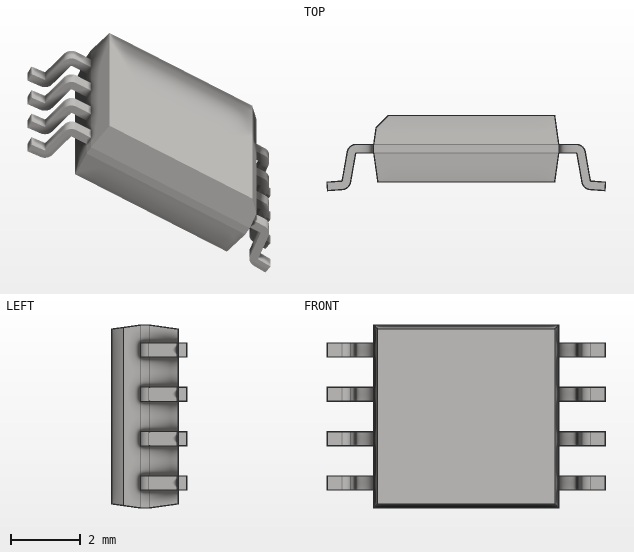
import cadquery as cq
import math


BODY_LENGTH_X = 5.3
BODY_LENGTH_Z = 5.24
BODY_HEIGHT = 1.91
BODY_TOP_Y = 2.16
DRAFT_ANGLE = 8.0
CHAMFER_DEPTH = 0.35

LEAD_COUNT_PER_SIDE = 4
LEAD_PITCH = 1.27
LEAD_WIDTH = 0.41
LEAD_THICKNESS = 0.25
LEAD_SPAN = 7.98
BEND_INNER_RADIUS = 0.02
FOOT_LENGTH = 0.42
LEG_TILT = math.radians(10)
FOOT_TILT = math.radians(4)

BODY_MID_Y = BODY_TOP_Y - BODY_HEIGHT / 2
BAND_BOTTOM_Y = BODY_MID_Y - LEAD_THICKNESS / 2
BAND_TOP_Y = BODY_MID_Y + LEAD_THICKNESS / 2
DRAFTED_HEIGHT = (BODY_HEIGHT - LEAD_THICKNESS) / 2


def outline_at(y):
    """Rectangle of the band, on a plane facing +Y at height y."""
    plane = cq.Plane(origin=(0, y, 0), xDir=(1, 0, 0), normal=(0, 1, 0))
    return cq.Workplane(plane).rect(BODY_LENGTH_X, BODY_LENGTH_Z)


def make_body():
    """Moulded body: a straight band with a drafted half above and below."""
    band = outline_at(BAND_BOTTOM_Y).extrude(LEAD_THICKNESS)
    upper = outline_at(BAND_TOP_Y).extrude(DRAFTED_HEIGHT, taper=DRAFT_ANGLE)
    lower = outline_at(BAND_BOTTOM_Y).extrude(-DRAFTED_HEIGHT, taper=DRAFT_ANGLE)
    return band.union(upper).union(lower).cut(make_bevel_cutter())


def make_bevel_cutter():
    """Triangular bar that bevels the top edge marking the pin 1 side."""
    bevel_bottom_y = BODY_TOP_Y - CHAMFER_DEPTH
    draft_inset = (bevel_bottom_y - BAND_TOP_Y) * math.tan(math.radians(DRAFT_ANGLE))
    bevel_start_x = -BODY_LENGTH_X / 2 + draft_inset
    reach = 2 * CHAMFER_DEPTH
    return (
        cq.Workplane("XY")
        .moveTo(bevel_start_x + reach, bevel_bottom_y + reach)
        .lineTo(bevel_start_x - reach, bevel_bottom_y + reach)
        .lineTo(bevel_start_x - reach, bevel_bottom_y - reach)
        .close()
        .extrude(BODY_LENGTH_Z / 2, both=True)
    )


def offset(point, distance, angle):
    """Point at a distance from another, the angle measured from +X towards +Y."""
    return (
        point[0] + distance * math.cos(angle),
        point[1] + distance * math.sin(angle),
    )


def make_lead(z):
    """Lead on the +X side, centred at z, butting against the band of the body.

    The inside and outside arcs of each bend share one centre, so the lead keeps
    its thickness all along.
    """
    right_angle = math.pi / 2
    leg_down = LEG_TILT - right_angle
    across_leg = LEG_TILT
    across_foot = -FOOT_TILT - right_angle
    outer_radius = BEND_INNER_RADIUS + LEAD_THICKNESS

    toe_top = (LEAD_SPAN / 2, LEAD_THICKNESS * math.cos(FOOT_TILT))
    toe_bottom = offset(toe_top, LEAD_THICKNESS, across_foot)
    foot_start = offset(toe_top, FOOT_LENGTH, math.pi - FOOT_TILT)
    heel_centre = offset(foot_start, -BEND_INNER_RADIUS, across_foot)

    knee_centre_y = BAND_BOTTOM_Y - BEND_INNER_RADIUS
    centre_gap = outer_radius + BEND_INNER_RADIUS
    leg_drop = knee_centre_y + centre_gap * math.sin(across_leg) - heel_centre[1]
    leg_length = leg_drop / math.cos(LEG_TILT)
    knee_centre = offset(offset(heel_centre, -leg_length, leg_down), -centre_gap, across_leg)

    knee_middle = (right_angle + across_leg) / 2
    heel_middle = (across_foot + across_leg - math.pi) / 2

    body_face_x = BODY_LENGTH_X / 2
    return (
        cq.Workplane("XY", origin=(0, 0, z))
        .moveTo(body_face_x, BAND_TOP_Y)
        .lineTo(*offset(knee_centre, outer_radius, right_angle))
        .threePointArc(
            offset(knee_centre, outer_radius, knee_middle),
            offset(knee_centre, outer_radius, across_leg),
        )
        .lineTo(*offset(heel_centre, -BEND_INNER_RADIUS, across_leg))
        .threePointArc(offset(heel_centre, BEND_INNER_RADIUS, heel_middle), foot_start)
        .lineTo(*toe_top)
        .lineTo(*toe_bottom)
        .lineTo(*offset(heel_centre, outer_radius, across_foot))
        .threePointArc(
            offset(heel_centre, outer_radius, heel_middle),
            offset(heel_centre, -outer_radius, across_leg),
        )
        .lineTo(*offset(knee_centre, BEND_INNER_RADIUS, across_leg))
        .threePointArc(
            offset(knee_centre, BEND_INNER_RADIUS, knee_middle),
            offset(knee_centre, BEND_INNER_RADIUS, right_angle),
        )
        .lineTo(body_face_x, BAND_BOTTOM_Y)
        .close()
        .extrude(LEAD_WIDTH / 2, both=True)
    )


body = make_body()

leads = []
for index in range(LEAD_COUNT_PER_SIDE):
    lead_z = (index - (LEAD_COUNT_PER_SIDE - 1) / 2) * LEAD_PITCH
    lead = make_lead(lead_z)
    leads.append(lead.val())
    leads.append(lead.mirror("YZ").val())

result = cq.Compound.makeCompound([body.val(), *leads])